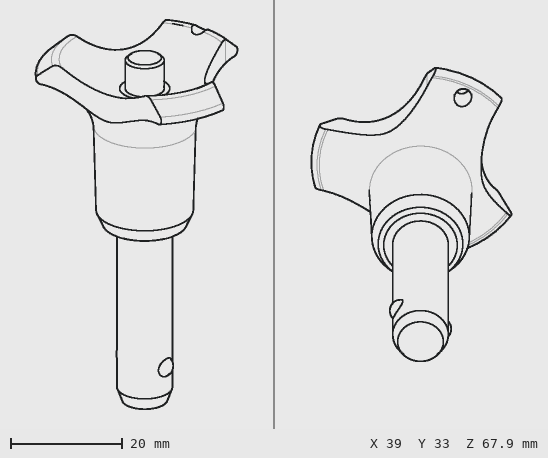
import cadquery as cq
import math


total_height = 67.9
grip_height = 33.2
shank_length = total_height - grip_height

shank_radius = 5.0
tip_radius = 4.1
tip_length = 2.5

ball_radius = 2.0
ball_reach = 6.0
ball_height_above_tip = 7.85

shoulder_radius = 6.6
nose_radius = 7.6
nose_height = 0.4
body_bottom_radius = 8.75
body_bottom_height = 3.0
body_top_radius = 9.2
body_top_height = grip_height - 13.5

flare_mid_radius = 11.9
flare_mid_height = grip_height - 7.5
flare_end_radius = 18.2
underside_height = grip_height - 4.35
head_radius = 19.59
rim_fillet = 1.0
cone_half_angle = math.radians(47)
crest_fillet = 1.1

dish_floor_radius = 4.5
dish_floor_height = grip_height - 6.1
dish_mid_radius = 11.1
dish_mid_height = grip_height - 3.1
dish_rim_angle = math.radians(36)
button_radius = 3.5
button_chamfer = 0.5

arm_half_width = 6.7
side_scallop_radius = 17.2
side_scallop_y = 14.8
front_scallop_y = -11.1
front_scallop_radius = 46.0
rim_clearance = 1.25

lanyard_hole_diameter = 3.1
lanyard_hole_y = 16.1


def make_shank():
    blank = cq.Workplane("XY").workplane(offset=-shank_length).circle(shank_radius).extrude(shank_length)
    return blank.faces("<Z").chamfer(tip_length, shank_radius - tip_radius)


def make_balls():
    ball_z = ball_height_above_tip - shank_length
    ball_x = ball_reach - ball_radius
    right_ball = cq.Workplane("XY").sphere(ball_radius).translate((ball_x, 0, ball_z))
    return right_ball.union(right_ball.mirror("YZ"))


def make_grip_blank():
    """Turned grip: body, concave flare, conical rim, rounded crest and dish."""
    rim_centre_radius = head_radius - rim_fillet
    rim_centre_z = underside_height + rim_fillet
    cone_bottom_radius = rim_centre_radius + rim_fillet * math.cos(cone_half_angle)
    cone_bottom_z = rim_centre_z + rim_fillet * math.sin(cone_half_angle)

    crest_centre_z = grip_height - crest_fillet
    cone_top_z = crest_centre_z + crest_fillet * math.sin(cone_half_angle)
    cone_top_radius = cone_bottom_radius - (cone_top_z - cone_bottom_z) * math.tan(cone_half_angle)
    crest_centre_radius = cone_top_radius - crest_fillet * math.cos(cone_half_angle)
    dish_rim_radius = crest_centre_radius - crest_fillet * math.sin(dish_rim_angle)
    dish_rim_z = crest_centre_z + crest_fillet * math.cos(dish_rim_angle)

    profile = (
        cq.Workplane("XZ")
        .moveTo(0, 0)
        .lineTo(shoulder_radius, 0)
        .lineTo(nose_radius, nose_height)
        .lineTo(body_bottom_radius, body_bottom_height)
        .lineTo(body_top_radius, body_top_height)
        .threePointArc((flare_mid_radius, flare_mid_height), (flare_end_radius, underside_height))
        .lineTo(rim_centre_radius, underside_height)
        .threePointArc((head_radius, rim_centre_z), (cone_bottom_radius, cone_bottom_z))
        .lineTo(cone_top_radius, cone_top_z)
        .threePointArc((crest_centre_radius, grip_height), (dish_rim_radius, dish_rim_z))
        .threePointArc((dish_mid_radius, dish_mid_height), (dish_floor_radius, dish_floor_height))
        .lineTo(0, dish_floor_height)
        .close()
    )
    return profile.revolve(360, (0, 0, 0), (0, 1, 0))


def make_arm_outline():
    """Vertical prism whose plan is the three-armed outline."""
    side_centre_x = arm_half_width + side_scallop_radius
    clear_radius = rim_clearance * head_radius
    prism = cq.Workplane("XY").circle(clear_radius).extrude(grip_height)
    front = (
        cq.Workplane("XY")
        .center(0, front_scallop_y - front_scallop_radius)
        .circle(front_scallop_radius)
        .extrude(grip_height)
    )
    prism = prism.cut(front)
    for side in (-1, 1):
        scallop = (
            cq.Workplane("XY")
            .center(side * side_centre_x, side_scallop_y)
            .circle(side_scallop_radius)
            .extrude(grip_height)
        )
        flank = (
            cq.Workplane("XY")
            .center(side * side_centre_x, side_scallop_y + clear_radius / 2)
            .rect(2 * side_scallop_radius, clear_radius)
            .extrude(grip_height)
        )
        prism = prism.cut(scallop).cut(flank)
    return prism


def make_button():
    button_height = grip_height - dish_floor_height
    floor_plane = cq.Workplane("XY").workplane(offset=dish_floor_height)
    button = floor_plane.circle(button_radius).extrude(button_height)
    return button.faces(">Z").chamfer(button_chamfer)


def make_lanyard_hole():
    return cq.Workplane("XY").center(0, lanyard_hole_y).circle(lanyard_hole_diameter / 2).extrude(grip_height)


grip = make_grip_blank().intersect(make_arm_outline()).cut(make_lanyard_hole())
result = grip.union(make_button()).union(make_shank()).union(make_balls())